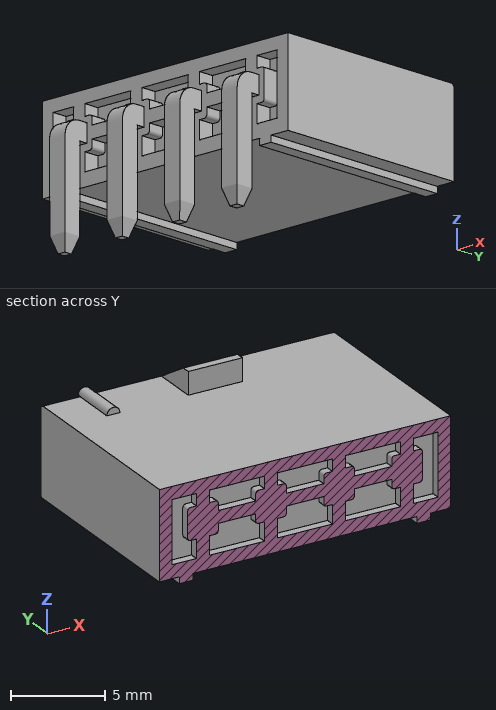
import cadquery as cq

BODY_WIDTH = 18.0
BODY_LENGTH = 12.8
BODY_HEIGHT = 5.44

PIN_COUNT = 4
PIN_PITCH = 4.2
PIN_SIZE = 1.14
PIN_REACH = 1.67
PIN_TOP = 3.55
PIN_BEND_RADIUS = 1.05
PIN_DROP = 3.87
PIN_TIP_LENGTH = 0.98
PIN_TIP_SIZE = 0.52

POCKET_DEPTH = 1.0
POCKET_SIDE_WALL = 0.8
POCKET_TOP_WALL = 0.8
POCKET_BOTTOM_WALL = 0.85
STEM_WIDTH = 0.84
COLLAR_WIDTH = 1.92
COLLAR_HEIGHT = 1.97
COLLAR_RADIUS = 0.2
SUPPORT_CENTRE_Z = 2.95
BRIDGE_HEIGHT = 0.78

LATCH_WIDTH = 3.36
LATCH_LENGTH = 3.0
LATCH_HEIGHT = 1.39
LATCH_FLAT = 0.53
REAR_BEVEL_LENGTH = 0.2
LATCH_SLOPE = LATCH_HEIGHT / (LATCH_LENGTH - LATCH_FLAT - REAR_BEVEL_LENGTH)
REAR_BEVEL_DROP = REAR_BEVEL_LENGTH * LATCH_SLOPE

KEY_RADIUS = 0.4
KEY_LENGTH = 3.0

RAIL_WIDTH = 0.86
RAIL_HEIGHT = 0.4
RAIL_OUTER_X = 7.77

PIN_X = [(i - (PIN_COUNT - 1) / 2) * PIN_PITCH for i in range(PIN_COUNT)]


def box(x_min, x_max, y_min, y_max, z_min, z_max):
    """Axis-aligned box given by its limits."""
    size = (x_max - x_min, y_max - y_min, z_max - z_min)
    return cq.Workplane("XY", origin=(x_min, y_min, z_min)).box(*size, centered=False)


def make_housing():
    """Solid block whose upper rear edge carries a shallow bevel."""
    profile = (
        cq.Workplane("YZ", origin=(-BODY_WIDTH / 2, 0, 0))
        .moveTo(0, 0)
        .lineTo(BODY_LENGTH, 0)
        .lineTo(BODY_LENGTH, BODY_HEIGHT - REAR_BEVEL_DROP)
        .lineTo(BODY_LENGTH - REAR_BEVEL_LENGTH, BODY_HEIGHT)
        .lineTo(0, BODY_HEIGHT)
        .close()
    )
    return profile.extrude(BODY_WIDTH)


def make_supports():
    """Stems, rounded collars and the bridge that stay behind in the front recess."""
    bridge_half = BRIDGE_HEIGHT / 2
    supports = box(
        PIN_X[0], PIN_X[-1], 0, POCKET_DEPTH, SUPPORT_CENTRE_Z - bridge_half, SUPPORT_CENTRE_Z + bridge_half
    )
    for x in PIN_X:
        stem = box(x - STEM_WIDTH / 2, x + STEM_WIDTH / 2, 0, POCKET_DEPTH, 0, BODY_HEIGHT)
        collar = (
            cq.Workplane("XY")
            .box(COLLAR_WIDTH, POCKET_DEPTH, COLLAR_HEIGHT)
            .edges("|Y")
            .fillet(COLLAR_RADIUS)
            .translate((x, POCKET_DEPTH / 2, SUPPORT_CENTRE_Z))
        )
        supports = supports.union(stem).union(collar)
    return supports


def make_front_recess():
    """Volume removed from the front face around the contact supports."""
    half_width = BODY_WIDTH / 2 - POCKET_SIDE_WALL
    pocket = box(-half_width, half_width, 0, POCKET_DEPTH, POCKET_BOTTOM_WALL, BODY_HEIGHT - POCKET_TOP_WALL)
    return pocket.cut(make_supports())


def make_latch():
    """Wedge with a short flat crest whose slope continues into the rear bevel."""
    front = BODY_LENGTH - LATCH_LENGTH
    profile = (
        cq.Workplane("YZ", origin=(-LATCH_WIDTH / 2, 0, 0))
        .moveTo(front, BODY_HEIGHT - REAR_BEVEL_DROP)
        .lineTo(front, BODY_HEIGHT + LATCH_HEIGHT)
        .lineTo(front + LATCH_FLAT, BODY_HEIGHT + LATCH_HEIGHT)
        .lineTo(BODY_LENGTH, BODY_HEIGHT - REAR_BEVEL_DROP)
        .close()
    )
    return profile.extrude(LATCH_WIDTH)


def make_key():
    """Half-round bar lying on the top face in line with the first contact, overhanging the rear bevel."""
    return (
        cq.Workplane("XZ", origin=(PIN_X[0], BODY_LENGTH, BODY_HEIGHT))
        .moveTo(-KEY_RADIUS, 0)
        .threePointArc((0, KEY_RADIUS), (KEY_RADIUS, 0))
        .close()
        .extrude(KEY_LENGTH)
    )


def make_rail(side):
    """Full-length rail under the housing; side is -1 or +1 along X."""
    centre_x = side * (RAIL_OUTER_X - RAIL_WIDTH / 2)
    return box(centre_x - RAIL_WIDTH / 2, centre_x + RAIL_WIDTH / 2, 0, BODY_LENGTH, -RAIL_HEIGHT, 0)


def make_pin(x):
    """Square contact leaving the front face, bent down and ending in a tapered tip."""
    outer_y = -PIN_REACH
    inner_y = outer_y + PIN_SIZE
    tip_base_z = PIN_TIP_LENGTH - PIN_DROP
    bar = (
        cq.Workplane("YZ", origin=(x - PIN_SIZE / 2, 0, 0))
        .moveTo(0, PIN_TOP)
        .lineTo(outer_y + PIN_BEND_RADIUS, PIN_TOP)
        .radiusArc((outer_y, PIN_TOP - PIN_BEND_RADIUS), -PIN_BEND_RADIUS)
        .lineTo(outer_y, tip_base_z)
        .lineTo(inner_y, tip_base_z)
        .lineTo(inner_y, PIN_TOP - PIN_SIZE)
        .lineTo(0, PIN_TOP - PIN_SIZE)
        .close()
        .extrude(PIN_SIZE)
    )
    tip = (
        cq.Workplane("XY", origin=(x, (outer_y + inner_y) / 2, tip_base_z))
        .rect(PIN_SIZE, PIN_SIZE)
        .workplane(offset=-PIN_TIP_LENGTH)
        .rect(PIN_TIP_SIZE, PIN_TIP_SIZE)
        .loft(ruled=True)
    )
    return bar.union(tip)


result = make_housing().cut(make_front_recess()).union(make_latch()).union(make_key())
for rail_side in (-1, 1):
    result = result.union(make_rail(rail_side))
for pin_x in PIN_X:
    result = result.union(make_pin(pin_x))